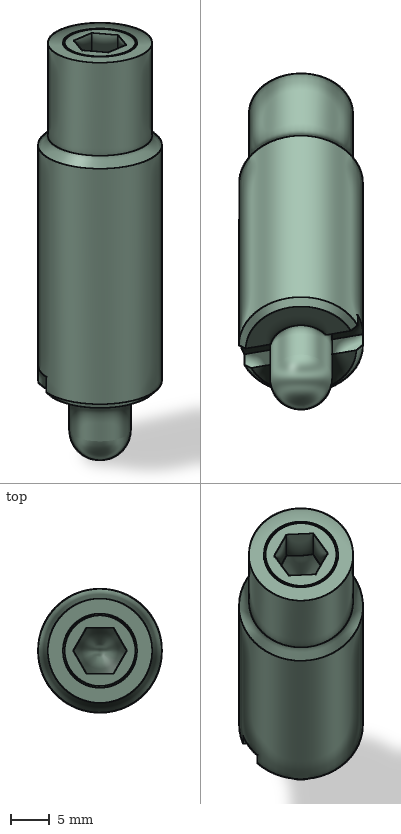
import cadquery as cq
import math

height = 58.0

sleeve_diameter = 16.0
neck_diameter = 13.45
neck_length = 13.0
sleeve_bottom = 10.0
bottom_chamfer = 0.85

slot_width = 3.3
slot_depth = 3.0

pin_diameter = 8.0
head_diameter = 9.1
head_length = neck_length
head_clearance = 0.25

socket_flats = 6.0
socket_depth = 5.8
socket_cone_angle = 120.0

sleeve_radius = sleeve_diameter / 2
neck_radius = neck_diameter / 2
pin_radius = pin_diameter / 2
head_radius = head_diameter / 2
counterbore_radius = head_radius + head_clearance
head_bottom = height - head_length
neck_bottom = height - neck_length
shoulder_drop = sleeve_radius - neck_radius
socket_corner_radius = socket_flats / 2 / math.cos(math.radians(30))
socket_cone_depth = socket_corner_radius / math.tan(math.radians(socket_cone_angle / 2))


def make_sleeve():
    """Turned sleeve with a slotted bottom and a stepped bore whose step carries the plunger head."""
    turned = (
        cq.Workplane("XZ")
        .moveTo(pin_radius, sleeve_bottom)
        .lineTo(sleeve_radius - bottom_chamfer, sleeve_bottom)
        .lineTo(sleeve_radius, sleeve_bottom + bottom_chamfer)
        .lineTo(sleeve_radius, neck_bottom - shoulder_drop)
        .lineTo(neck_radius, neck_bottom)
        .lineTo(neck_radius, height)
        .lineTo(counterbore_radius, height)
        .lineTo(counterbore_radius, head_bottom)
        .lineTo(pin_radius, head_bottom)
        .close()
        .revolve(360, (0, 0, 0), (0, 1, 0))
    )
    slot = (
        cq.Workplane("XY")
        .workplane(offset=sleeve_bottom)
        .rect(slot_width, sleeve_diameter)
        .extrude(slot_depth)
    )
    return turned.cut(slot)


def make_socket():
    """Hexagonal hole whose corners meet the rim of the cone below it."""
    socket_bottom = height - socket_depth
    hexagon = (
        cq.Workplane("XY")
        .workplane(offset=socket_bottom)
        .polygon(6, 2 * socket_corner_radius)
        .extrude(socket_depth)
    )
    cone = cq.Workplane(
        cq.Solid.makeCone(
            socket_corner_radius,
            0,
            socket_cone_depth,
            pnt=cq.Vector(0, 0, socket_bottom),
            dir=cq.Vector(0, 0, -1),
        )
    )
    hexagonal_cone = cone.intersect(
        cq.Workplane("XY")
        .workplane(offset=socket_bottom - socket_cone_depth)
        .polygon(6, 2 * socket_corner_radius)
        .extrude(socket_cone_depth)
    )
    return hexagon.union(hexagonal_cone)


def make_plunger():
    """Turned plunger with a hemispherical nose and a hexagon socket in its head."""
    nose_side = pin_radius * math.sqrt(0.5)
    turned = (
        cq.Workplane("XZ")
        .moveTo(0, 0)
        .threePointArc((nose_side, pin_radius - nose_side), (pin_radius, pin_radius))
        .lineTo(pin_radius, head_bottom)
        .lineTo(head_radius, head_bottom)
        .lineTo(head_radius, height)
        .lineTo(0, height)
        .close()
        .revolve(360, (0, 0, 0), (0, 1, 0))
    )
    return turned.cut(make_socket())


sleeve = make_sleeve()
plunger = make_plunger()

result = cq.Compound.makeCompound([sleeve.val(), plunger.val()])